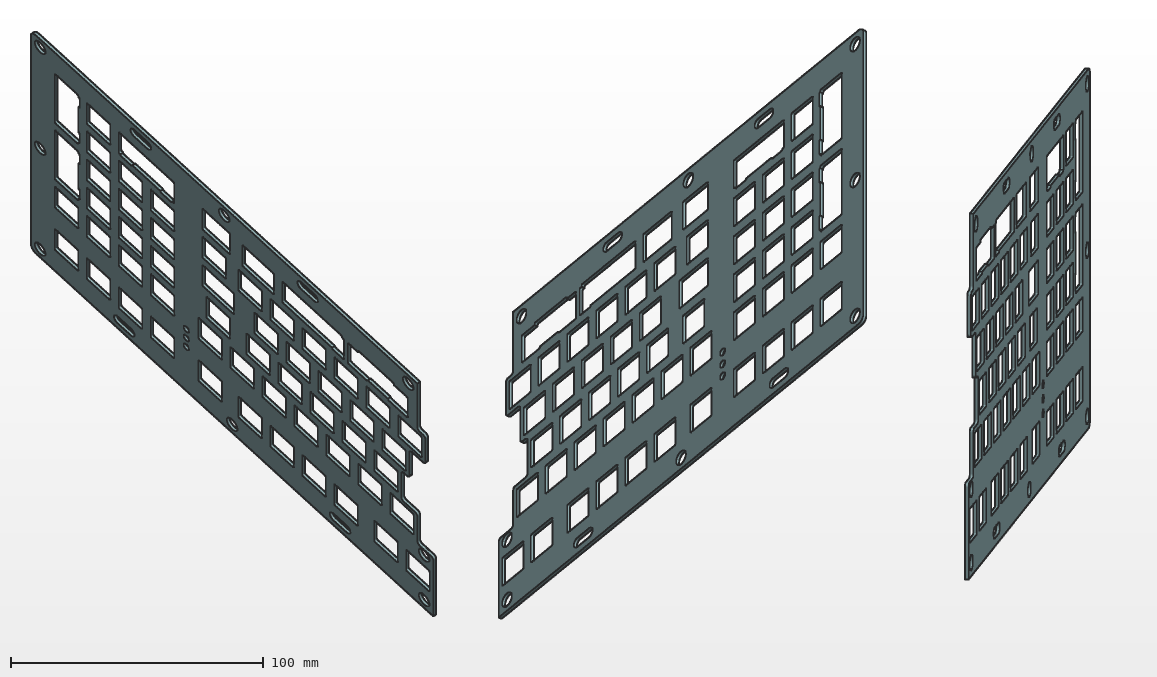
import cadquery as cq
import math


PLATE_WIDTH = 240.2
PLATE_HEIGHT = 147.43
PLATE_THICKNESS = 1.5
LEFT_EDGE = -PLATE_WIDTH / 2
RIGHT_EDGE = PLATE_WIDTH / 2
TOP_EDGE = PLATE_HEIGHT / 2
BOTTOM_EDGE = -PLATE_HEIGHT / 2

UNIT = 19.05
LEFT_BORDER = 11.8
EDGE_CLEARANCE = 0.2
ROW_OFFSETS = [0, 1, 2, 3, 4, 5.5]
FIRST_ROW_Z = ROW_OFFSETS[-1] / 2 * UNIT
ROW_Z = [FIRST_ROW_Z - offset * UNIT for offset in ROW_OFFSETS]

SINGLE_KEYS = [
    [1.5],
    [1.5, 2.5, 3.5, 5.125, 6.25, 7.25, 8.25, 9.25, 10.25, 11.25],
    [1.5, 2.5, 3.5, 6.75, 7.75, 8.75, 9.75, 10.75],
    [1.5, 2.5, 3.5, 5.25, 6.5, 7.5, 8.5, 9.5, 10.5],
    [0.5, 1.5, 2.5, 3.5, 5, 6, 7, 8, 9, 10, 11],
    [0.5, 1.5, 2.5, 3.5, 5, 6.25, 7.25, 8.25, 9.25, 10.5, 11.5],
]
WIDE_WINDOWS = [
    (0, 2.5, 3.5),
    (0, 5.125, 5.25),
    (0, 6.375, 6.625),
    (0, 7.625, 8.75),
    (0, 10, 10.375),
    (2, 5.125, 5.375),
]
ROW_ENDS = [11.5, 11.75, 11.25, 11, 11.5, 12]

SWITCH_SIZE = 14
WINDOW_RADIUS = 0.5
STABILIZER_WIDTH = 7
STABILIZER_INNER_REACH = 5.9
STABILIZER_OUTER_REACH = 7.75
STABILIZER_OFFSET_2U = 11.938
STABILIZER_OFFSET_3U = 19.05
FIRST_ROW_STABILIZERS = [
    (3, STABILIZER_OFFSET_2U),
    (10, STABILIZER_OFFSET_3U),
    (10.125, STABILIZER_OFFSET_2U),
    (10.375, STABILIZER_OFFSET_2U),
]
TALL_KEY_COLUMN = 0.5
TALL_KEY_ROWS = [(0, 1), (2, 3)]

LEFT_CORNER_RADIUS = 3.2
STEP_RADIUS = 1.5
LAST_STEP_DROP = 0.8

MOUNT_DIAMETER = 6.3
MOUNT_INSET = 5.56
LED_DIAMETER = 3.2
LED_PITCH = 6
LED_COLUMN = 4.25
SLOT_LENGTH = 12.2
SLOT_HEIGHT = 4.5
TOP_SLOT_SPREAD = 49.8
BOTTOM_SLOT_SPREAD = 64.4


def column_x(units):
    """X of a place given in key units from the left side of the first key cell."""
    return LEFT_EDGE + LEFT_BORDER + units * UNIT


def rounded_outline(corners):
    """Closed outline through square corners (x, z, radius); a zero radius leaves the corner sharp."""
    outline = cq.Workplane("XZ")
    for index, (x, z, radius) in enumerate(corners):
        before = corners[index - 1]
        after = corners[(index + 1) % len(corners)]
        in_x, in_z = direction((x, z), before)
        out_x, out_z = direction((x, z), after)
        start = (x + radius * in_x, z + radius * in_z)
        end = (x + radius * out_x, z + radius * out_z)
        bulge = radius * (1 - math.sqrt(0.5))
        middle = (x + bulge * (in_x + out_x), z + bulge * (in_z + out_z))
        outline = outline.moveTo(*start) if index == 0 else outline.lineTo(*start)
        if radius > 0:
            outline = outline.threePointArc(middle, end)
    return outline.close()


def direction(start, end):
    """Unit vector from one outline corner toward another."""
    dx = end[0] - start[0]
    dz = end[1] - start[1]
    length = math.hypot(dx, dz)
    return dx / length, dz / length


def plate_blank():
    """Sheet whose right edge steps in and out with the ends of the key rows."""
    right_edges = [column_x(end) - EDGE_CLEARANCE for end in ROW_ENDS]
    last_step = len(right_edges) - 2
    corners = [
        (LEFT_EDGE, BOTTOM_EDGE, LEFT_CORNER_RADIUS),
        (LEFT_EDGE, TOP_EDGE, LEFT_CORNER_RADIUS),
        (right_edges[0], TOP_EDGE, 0),
    ]
    for row in range(last_step + 1):
        above = right_edges[row]
        below = right_edges[row + 1]
        step_z = ROW_Z[row] - UNIT / 2
        step_z += EDGE_CLEARANCE if above > below else -EDGE_CLEARANCE
        if row == last_step:
            step_z -= LAST_STEP_DROP
        corners.append((above, step_z, STEP_RADIUS))
        corners.append((below, step_z, STEP_RADIUS))
    corners.append((RIGHT_EDGE, BOTTOM_EDGE, 0))
    return rounded_outline(corners).extrude(PLATE_THICKNESS / 2, both=True)


def window(left, right, bottom, top):
    """Cutter for a rectangular window with rounded corners."""
    places = [(left, bottom), (left, top), (right, top), (right, bottom)]
    corners = [(x, z, WINDOW_RADIUS) for x, z in places]
    return rounded_outline(corners).extrude(PLATE_THICKNESS, both=True)


def switch_window(first_x, last_x, lower_z, upper_z):
    """Cutter that frees a switch anywhere between the given centres."""
    reach = SWITCH_SIZE / 2
    return window(first_x - reach, last_x + reach, lower_z - reach, upper_z + reach)


def row_windows():
    """Cutters for all single and wide switch windows."""
    cutters = []
    for row_z, keys in zip(ROW_Z, SINGLE_KEYS):
        for key in keys:
            x = column_x(key)
            cutters.append(switch_window(x, x, row_z, row_z))
    for row, first, last in WIDE_WINDOWS:
        cutters.append(switch_window(column_x(first), column_x(last), ROW_Z[row], ROW_Z[row]))
    return cutters


def first_row_stabilizers():
    """Cutters for the upright stabilizer windows beside the wide keys of the first row."""
    cutters = []
    z = ROW_Z[0]
    for key, offset in FIRST_ROW_STABILIZERS:
        for side in (-1, 1):
            x = column_x(key) + side * offset
            left = x - STABILIZER_WIDTH / 2
            right = x + STABILIZER_WIDTH / 2
            cutters.append(window(left, right, z - STABILIZER_OUTER_REACH, z + STABILIZER_INNER_REACH))
    return cutters


def tall_keys():
    """Cutters for the two-row keys of the first column and their stabilizers."""
    cutters = []
    x = column_x(TALL_KEY_COLUMN)
    for upper_row, lower_row in TALL_KEY_ROWS:
        cutters.append(switch_window(x, x, ROW_Z[lower_row], ROW_Z[upper_row]))
        middle_z = (ROW_Z[upper_row] + ROW_Z[lower_row]) / 2
        for side in (-1, 1):
            z = middle_z + side * STABILIZER_OFFSET_2U
            bottom = z - STABILIZER_WIDTH / 2
            top = z + STABILIZER_WIDTH / 2
            cutters.append(window(x - STABILIZER_INNER_REACH, x + STABILIZER_OUTER_REACH, bottom, top))
    return cutters


def round_holes(centers, diameter):
    """Cutter for equal round holes through the plate."""
    return cq.Workplane("XZ").pushPoints(centers).circle(diameter / 2).extrude(PLATE_THICKNESS, both=True)


def holes_and_slots():
    """Cutters for mounting holes, indicator holes and edge slots."""
    left = LEFT_EDGE + MOUNT_INSET
    right = RIGHT_EDGE - MOUNT_INSET
    top = TOP_EDGE - MOUNT_INSET
    bottom = BOTTOM_EDGE + MOUNT_INSET
    top_right = column_x(ROW_ENDS[0]) - EDGE_CLEARANCE - MOUNT_INSET
    top_middle = (left + top_right) / 2
    bottom_middle = (left + right) / 2
    gap_z = (ROW_Z[4] + ROW_Z[5]) / 2

    mounts = [
        (left, top), (top_middle, top), (top_right, top),
        (left, 0), (right, gap_z),
        (left, bottom), (bottom_middle, bottom), (right, bottom),
    ]
    leds = [(column_x(LED_COLUMN), gap_z + step * LED_PITCH) for step in (-1, 0, 1)]
    slots = []
    for side in (-1, 1):
        slots.append((top_middle + side * TOP_SLOT_SPREAD, top))
        slots.append((bottom_middle + side * BOTTOM_SLOT_SPREAD, bottom))
    slot_cutter = (
        cq.Workplane("XZ")
        .pushPoints(slots)
        .slot2D(SLOT_LENGTH, SLOT_HEIGHT)
        .extrude(PLATE_THICKNESS, both=True)
    )
    return [round_holes(mounts, MOUNT_DIAMETER), round_holes(leds, LED_DIAMETER), slot_cutter]


cutters = row_windows() + first_row_stabilizers() + tall_keys() + holes_and_slots()
cutter_solids = [solid for cutter in cutters for solid in cutter.solids().vals()]
result = cq.Workplane(plate_blank().solids().val().cut(*cutter_solids)).solids()